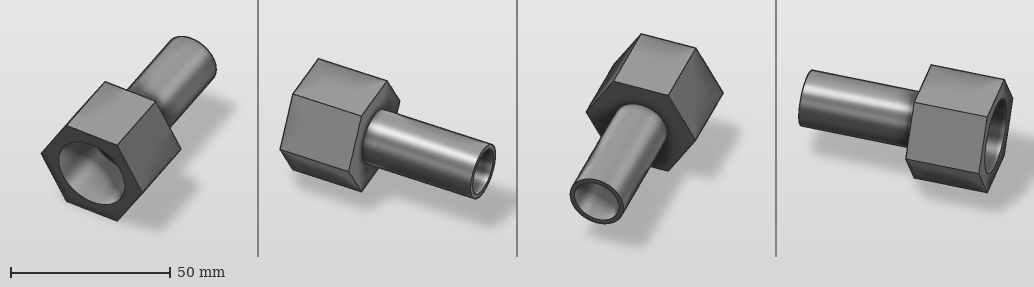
import cadquery as cq
import math

total_length = 62.0
hex_across_flats = 32.0
hex_length = 24.0
tube_diameter = 18.0
bore_diameter = 15.0
socket_diameter = 24.1
socket_depth = 19.0

hex_across_corners = hex_across_flats / math.cos(math.radians(30))
tube_length = total_length - hex_length


def front_plane(y):
    """Plane at the given Y whose normal points along +Y."""
    return cq.Workplane(cq.Plane(origin=(0, y, 0), xDir=(1, 0, 0), normal=(0, 1, 0)))


def cylinder(diameter, start_y, length):
    """Cylinder about the Y axis, running from start_y toward +Y."""
    return front_plane(start_y).circle(diameter / 2).extrude(length)


head = front_plane(0).polygon(6, hex_across_corners).extrude(hex_length)

tube = cylinder(tube_diameter, hex_length, tube_length)

bore = cylinder(bore_diameter, 0, total_length)
socket = cylinder(socket_diameter, 0, socket_depth)

result = head.union(tube).cut(bore).cut(socket)